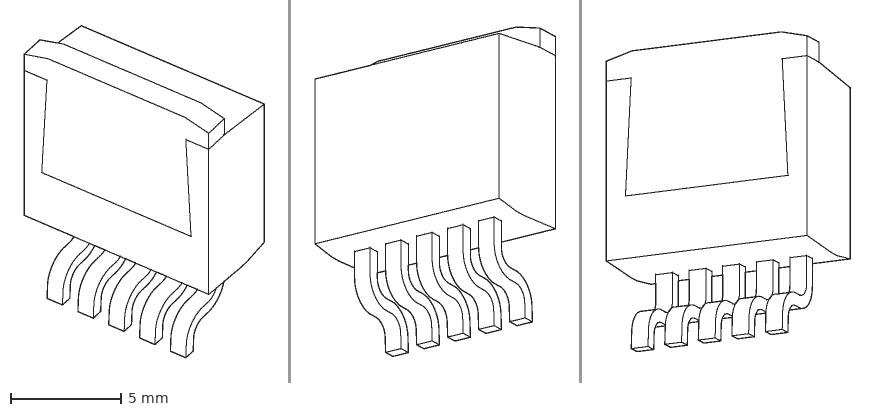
import cadquery as cq
import math


width = 10.16
depth = 4.55
height = 14.01
back_width = 10.07

housing_top = 12.74
housing_bottom = 4.27
ridge_bottom = 4.09
top_draft = 7.0

tab_thickness = 1.27
tab_shoulder = 13.67
tab_crest_width = 7.55
tab_neck_width = 7.64
tab_foot_width = 8.21
tab_foot = 7.22

lead_count = 5
lead_pitch = 1.7
lead_width = 0.85
lead_thickness = 0.6
lead_back = 3.14
bend_radius = 0.74
shelf_top = 2.06
tip_lean = 3.0
lead_top = housing_bottom


def taper_envelope():
    """Plan shape shared by the housing and the tab, narrower at the back."""
    return (
        cq.Workplane("XY")
        .polyline([
            (-width / 2, 0),
            (width / 2, 0),
            (back_width / 2, depth),
            (-back_width / 2, depth),
        ])
        .close()
        .extrude(height)
    )


def make_tab():
    """Plate with sloped corners and a dovetail tongue set into the housing."""
    right_side = [
        (tab_crest_width / 2, height),
        (width / 2, tab_shoulder),
        (width / 2, housing_top),
        (tab_neck_width / 2, housing_top),
        (tab_foot_width / 2, tab_foot),
    ]
    left_side = [(-x, z) for x, z in reversed(right_side)]
    plate = cq.Workplane("XZ").polyline(right_side + left_side).close().extrude(-tab_thickness)
    return plate.intersect(taper_envelope())


def make_lead(x_center):
    """Gull-wing lead: upright, bend, level shelf, bend, leaning tip."""
    outer_radius = bend_radius + lead_thickness
    lean = math.radians(tip_lean)
    lead_front = lead_back - lead_thickness
    shelf_bottom = shelf_top - lead_thickness

    upper_y = lead_front - bend_radius
    upper_z = shelf_top + bend_radius

    lower_z = shelf_bottom - bend_radius
    lower_y = outer_radius / math.cos(lean) + lower_z * math.tan(lean)
    tip_length_y = lead_thickness / math.cos(lean)

    def upper_arc(radius, angle):
        return (upper_y + radius * math.cos(angle), upper_z - radius * math.sin(angle))

    def lower_arc(radius, angle):
        return (lower_y - radius * math.cos(angle), lower_z + radius * math.sin(angle))

    upper_middle = math.radians(45)
    lower_middle = (math.radians(90) + lean) / 2

    profile = (
        cq.Workplane("YZ", origin=(x_center, 0, 0))
        .moveTo(lead_back, lead_top)
        .lineTo(lead_back, upper_z)
        .threePointArc(upper_arc(outer_radius, upper_middle), (upper_y, shelf_bottom))
        .lineTo(lower_y, shelf_bottom)
        .threePointArc(lower_arc(bend_radius, lower_middle), lower_arc(bend_radius, lean))
        .lineTo(tip_length_y, 0)
        .lineTo(0, 0)
        .lineTo(*lower_arc(outer_radius, lean))
        .threePointArc(lower_arc(outer_radius, lower_middle), (lower_y, shelf_top))
        .lineTo(upper_y, shelf_top)
        .threePointArc(upper_arc(bend_radius, upper_middle), (lead_front, upper_z))
        .lineTo(lead_front, lead_top)
        .close()
    )
    return profile.extrude(lead_width / 2, both=True)


def make_housing(tab, leads):
    """Moulded block with recesses that fit the tab and the lead ends."""
    lead_front = lead_back - lead_thickness
    back_top = housing_top - (depth - tab_thickness) * math.tan(math.radians(top_draft))
    block = (
        cq.Workplane("YZ")
        .polyline([
            (0, housing_bottom),
            (lead_front, ridge_bottom),
            (lead_back, ridge_bottom),
            (depth, housing_bottom),
            (depth, back_top),
            (tab_thickness, housing_top),
            (0, housing_top),
        ])
        .close()
        .extrude(width / 2, both=True)
        .intersect(taper_envelope())
        .cut(tab)
    )
    for lead in leads:
        block = block.cut(lead)
    return block


tab = make_tab()
leads = [make_lead((i - (lead_count - 1) / 2) * lead_pitch) for i in range(lead_count)]
housing = make_housing(tab, leads)

result = cq.Compound.makeCompound([housing.val(), tab.val(), *[lead.val() for lead in leads]])